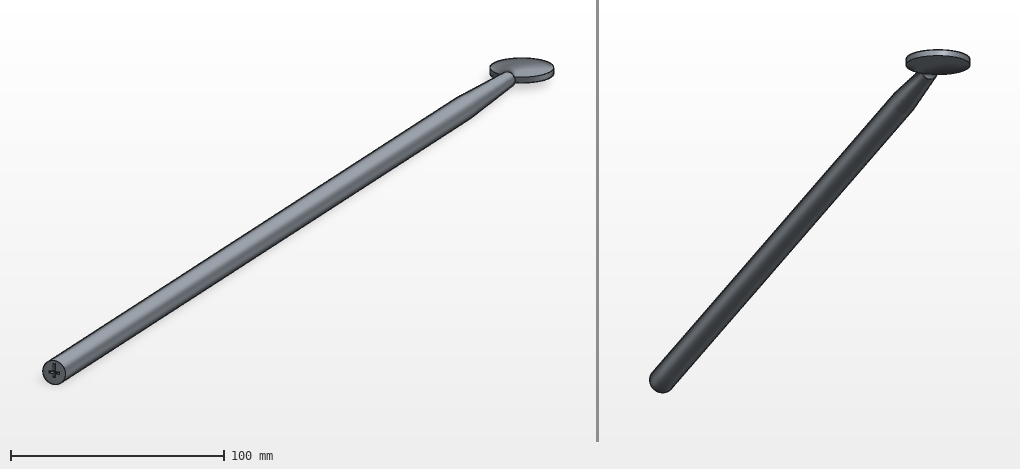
import cadquery as cq

total_length = 535.0
rear_end = -total_length / 2
tip_end = total_length / 2

plate_diameter = 30.0
plate_thickness = 2.95
plate_centre = tip_end - plate_diameter / 2

handle_diameter = 12.0
neck_start = 188.0
neck_end = 238.0
neck_tip_diameter = 7.5
neck_tip_bevel_length = 1.0
neck_tip_bevel_inset = 2.4

recess_arm_width = 1.0
recess_side_reach = 2.5
recess_upper_reach = 4.5
recess_lower_reach = 2.4
recess_depth = 2.5


def make_shaft():
    """Handle and bevelled conical neck, turned as one profile about the Y axis."""
    handle_radius = handle_diameter / 2
    tip_radius = neck_tip_diameter / 2
    return (
        cq.Workplane("YZ")
        .moveTo(rear_end, 0)
        .lineTo(rear_end, handle_radius)
        .lineTo(neck_start, handle_radius)
        .lineTo(neck_end - neck_tip_bevel_length, tip_radius)
        .lineTo(neck_end, tip_radius - neck_tip_bevel_inset)
        .lineTo(neck_end, 0)
        .close()
        .revolve(360, (0, 0, 0), (1, 0, 0))
    )


def make_plate():
    """Flat disc that overlaps the neck tip and ends the part."""
    return (
        cq.Workplane("XY")
        .center(0, plate_centre)
        .circle(plate_diameter / 2)
        .extrude(plate_thickness / 2, both=True)
    )


def make_recess():
    """Crossed bars sunk into the rear face along +Y."""
    rear_face = cq.Workplane("XZ", origin=(0, rear_end, 0))
    side_bar = rear_face.rect(2 * recess_side_reach, recess_arm_width).extrude(-recess_depth)
    upright_bar = (
        rear_face
        .center(0, (recess_upper_reach - recess_lower_reach) / 2)
        .rect(recess_arm_width, recess_upper_reach + recess_lower_reach)
        .extrude(-recess_depth)
    )
    return side_bar.union(upright_bar)


result = make_shaft().union(make_plate()).cut(make_recess())